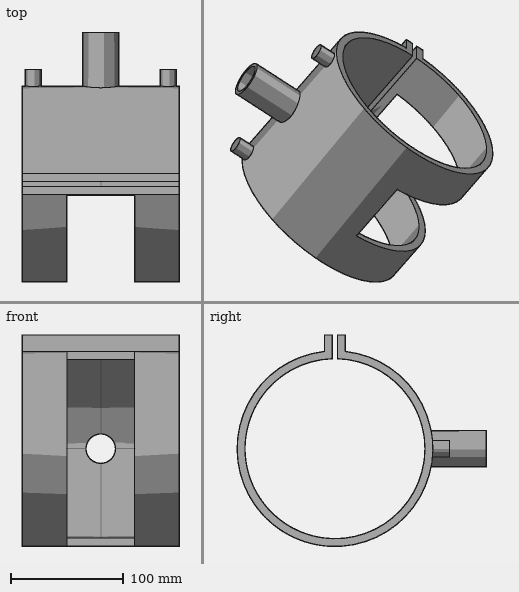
import cadquery as cq

length = 140.0
outer_diameter = 174.0
wall = 7.0
outer_radius = outer_diameter / 2
inner_radius = outer_radius - wall

total_height = 188.2
ear_top = total_height - outer_radius
gap = 4.5
ear_thickness = 7.0
ears_width = gap + 2 * ear_thickness

window_length = 60.0
window_edge_y = -10.5

total_depth = 221.7
spigot_end = total_depth - outer_radius
spigot_diameter = 32.4
spigot_bore = 26.0

pin_diameter = 14.5
pin_end = 101.8
pin_inset = 10.0
pin_x = length / 2 - pin_inset


def rod_along_y(diameter, end, x=0):
    """Cylinder from the ring axis out to y = end."""
    return cq.Workplane("XZ", origin=(x, 0, 0)).circle(diameter / 2).extrude(-end)


def block_above_axis(width, height):
    """Full-length block standing on the ring axis."""
    return cq.Workplane("XY").rect(length, width).extrude(height)


body = cq.Workplane("YZ").circle(outer_radius).extrude(length / 2, both=True)
body = body.union(block_above_axis(ears_width, ear_top))
body = body.union(rod_along_y(spigot_diameter, spigot_end))
for x in (-pin_x, pin_x):
    body = body.union(rod_along_y(pin_diameter, pin_end, x))

body = body.cut(cq.Workplane("YZ").circle(inner_radius).extrude(length / 2, both=True))
body = body.cut(block_above_axis(gap, ear_top))
body = body.cut(rod_along_y(spigot_bore, spigot_end))

window = (
    cq.Workplane("XY", origin=(0, window_edge_y - outer_radius / 2, 0))
    .rect(window_length, outer_radius)
    .extrude(outer_radius, both=True)
)
result = body.cut(window)